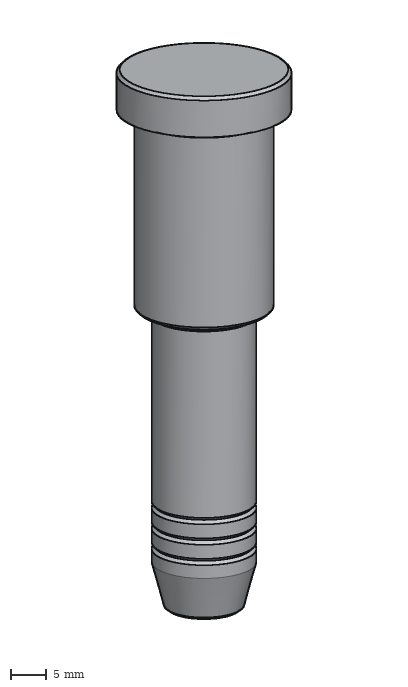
import cadquery as cq
import math

length = 81.0

head_radius = 25.0 / 2
head_height = 6.0

body_radius = 19.9 / 2
body_bottom = length - 36.0

stem_radius = 15.0 / 2
nose_height = 7.0
nose_angle = 15.0

edge_chamfer = 0.5
groove_width = 1.0
groove_depth = groove_width / 2
relief_width = 1.0
relief_depth = 0.5
groove_count = 3
groove_pitch = 3.1
first_groove_top = length - 65.0


def cylinder(radius, bottom, top):
    return cq.Workplane("XY").workplane(offset=bottom).circle(radius).extrude(top - bottom)


def v_groove(radius, top):
    """Ring to cut: a V with its mouth on a cylinder of the given radius."""
    return (
        cq.Workplane("XZ")
        .moveTo(radius, top)
        .lineTo(radius - groove_depth, top - groove_width / 2)
        .lineTo(radius, top - groove_width)
        .close()
        .revolve(360, (0, 0, 0), (0, 1, 0))
    )


def make_head():
    return cylinder(head_radius, length - head_height, length).faces(">Z").chamfer(edge_chamfer)


def make_body():
    head_bottom = length - head_height
    body = cylinder(body_radius, body_bottom, head_bottom).faces("<Z").chamfer(edge_chamfer)
    return body.cut(v_groove(body_radius, head_bottom))


def make_stem():
    relief_bottom = body_bottom - relief_width
    stem = cylinder(stem_radius, nose_height, relief_bottom)
    relief = cylinder(stem_radius - relief_depth, relief_bottom, body_bottom)
    for index in range(groove_count):
        stem = stem.cut(v_groove(stem_radius, first_groove_top - index * groove_pitch))
    return stem.union(relief)


def make_nose():
    tip_radius = stem_radius - nose_height * math.tan(math.radians(nose_angle))
    nose = (
        cq.Workplane("XZ")
        .lineTo(tip_radius, 0)
        .lineTo(stem_radius, nose_height)
        .lineTo(0, nose_height)
        .close()
        .revolve(360, (0, 0, 0), (0, 1, 0))
    )
    return nose.faces("<Z").chamfer(edge_chamfer)


result = make_head().union(make_body()).union(make_stem()).union(make_nose())